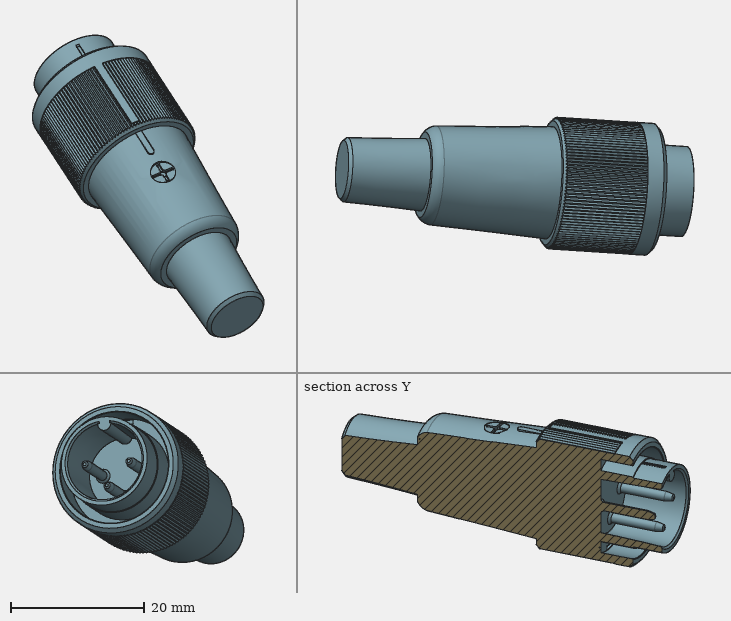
import cadquery as cq
import math


TOTAL_LENGTH = 52.8
COLLAR_FRONT = 4.8
KNURL_FRONT = 7.85
COLLAR_REAR = 20.8
BODY_SHOULDER = 38.75
BODY_REAR = 40.35
CAVITY_FLOOR = 10.1

SHELL_RADIUS = 13.6 / 2
SHELL_STEP_RADIUS = 13.9 / 2
SHELL_MOUTH_RADIUS = 6.2
SHELL_BORE_RADIUS = 5.9
SHELL_FLOOR_RADIUS = 5.65
SHELL_CHAMFER = 0.3
GROOVE_FRONT = 1.0
GROOVE_RAMP_LENGTH = 0.3
GROOVE_WIDTH = 0.5
GROOVE_DEPTH = 0.15

KEY_RADIUS = 1.05
KEY_CENTER_HEIGHT = 5.75
KEY_NECK_WIDTH = 1.66

PIN_RADIUS = 1.49 / 2
PIN_NOSE_RADIUS = 1.0 / 2
PIN_TIP_RADIUS = 0.25
PIN_NOSE_LENGTH = 0.15
PIN_CIRCLE_RADIUS = 3.5
PIN_TIP = 1.2
PIN_CONE_LENGTH = 1.3
PIN_BOSS_RADIUS = 1.08
PIN_BOSS_HEIGHT = 0.4
PIN_ANGLES = (0, 180, 270)

COLLAR_RADIUS = 19.9 / 2
COLLAR_BORE_RADIUS = 17.1 / 2
COLLAR_BORE_CHAMFER = 0.1
COLLAR_CHAMFER = 0.6
LATCH_WIDTH = 2.5
LATCH_INNER_HEIGHT = 7.75
LATCH_DEPTH = 0.5
LATCH_EDGE_GAP = 0.1

KNURL_COUNT = 120
KNURL_CREST_RADIUS = COLLAR_RADIUS - 0.02
KNURL_ROOT_RADIUS = COLLAR_RADIUS - 0.25
STRIP_WIDTH = 1.3
STRIP_END = 19.9

BODY_FRONT_RADIUS = 8.46
BODY_SHOULDER_RADIUS = 7.48
BODY_REAR_RADIUS = 6.45
BODY_HOLLOW = 0.035
SHOULDER_BULGE = 0.15
TAIL_FRONT_RADIUS = 5.48
TAIL_EDGE_RADIUS = 4.87
TAIL_HOLLOW = 0.05
TAIL_END_RADIUS = 4.4
TAIL_EDGE_LENGTH = 0.55

INDEX_END = 25.35
INDEX_WIDTH = 1.0
INDEX_TOP = 8.5

SCREW_X = 28.8
SCREW_RADIUS = 1.9
SCREW_TOP = 7.75
SCREW_SLOT_LENGTH = 3.3
SCREW_SLOT_WIDTH = 0.45
SCREW_SLOT_DEPTH = 0.4
SCREW_CENTER_RADIUS = 0.5
SCREW_CENTER_DEPTH = 0.6

CUT_MARGIN = 1.0


def revolve_about_x(profile):
    return profile.close().revolve(360, (0, 0, 0), (1, 0, 0))


def box_along_x(x_start, x_end, width, z_low, z_high):
    box = cq.Workplane("XY").box(x_end - x_start, width, z_high - z_low, centered=(False, True, False))
    return box.translate((x_start, 0, z_low))


def make_collar():
    front_radius = COLLAR_RADIUS - COLLAR_CHAMFER
    profile = (
        cq.Workplane("XY")
        .moveTo(COLLAR_FRONT, COLLAR_BORE_RADIUS + COLLAR_BORE_CHAMFER)
        .lineTo(COLLAR_FRONT, front_radius)
        .lineTo(COLLAR_FRONT + COLLAR_CHAMFER, COLLAR_RADIUS)
        .lineTo(COLLAR_REAR - COLLAR_CHAMFER, COLLAR_RADIUS)
        .lineTo(COLLAR_REAR, front_radius)
        .lineTo(COLLAR_REAR, 0)
        .lineTo(CAVITY_FLOOR, 0)
        .lineTo(CAVITY_FLOOR, COLLAR_BORE_RADIUS)
        .lineTo(COLLAR_FRONT + COLLAR_BORE_CHAMFER, COLLAR_BORE_RADIUS)
    )
    return revolve_about_x(profile)


def make_knurl_cutter():
    half_pitch = math.pi / KNURL_COUNT
    tooth_points = []
    for index in range(2 * KNURL_COUNT):
        radius = KNURL_CREST_RADIUS if index % 2 == 0 else KNURL_ROOT_RADIUS
        angle = index * half_pitch
        tooth_points.append((radius * math.cos(angle), radius * math.sin(angle)))
    section = cq.Workplane("YZ", origin=(KNURL_FRONT, 0, 0))
    length = COLLAR_REAR - KNURL_FRONT
    toothed_core = section.polyline(tooth_points).close().extrude(length)
    return section.circle(COLLAR_RADIUS + CUT_MARGIN).extrude(length).cut(toothed_core)


def make_plain_strip():
    strip = box_along_x(KNURL_FRONT, STRIP_END, STRIP_WIDTH, COLLAR_BORE_RADIUS, COLLAR_RADIUS + CUT_MARGIN)
    cylinder = cq.Workplane("YZ").circle(COLLAR_RADIUS).extrude(COLLAR_REAR)
    return strip.intersect(cylinder)


def make_latch_recesses():
    outer_height = COLLAR_BORE_RADIUS - LATCH_EDGE_GAP
    recess_end = CAVITY_FLOOR + LATCH_DEPTH
    upper = box_along_x(CAVITY_FLOOR, recess_end, LATCH_WIDTH, LATCH_INNER_HEIGHT, outer_height)
    return upper.union(upper.mirror("XY"))


def make_shell():
    profile = (
        cq.Workplane("XY")
        .moveTo(0, SHELL_MOUTH_RADIUS)
        .lineTo(0, SHELL_RADIUS)
        .lineTo(COLLAR_FRONT, SHELL_RADIUS)
        .lineTo(COLLAR_FRONT, SHELL_STEP_RADIUS)
        .lineTo(CAVITY_FLOOR, SHELL_STEP_RADIUS)
        .lineTo(CAVITY_FLOOR, SHELL_FLOOR_RADIUS)
        .lineTo(SHELL_CHAMFER, SHELL_BORE_RADIUS)
    )
    groove = (
        cq.Workplane("XZ")
        .moveTo(GROOVE_FRONT, SHELL_RADIUS)
        .lineTo(GROOVE_FRONT + GROOVE_RAMP_LENGTH, SHELL_RADIUS - GROOVE_DEPTH)
        .lineTo(COLLAR_FRONT, SHELL_RADIUS - GROOVE_DEPTH)
        .lineTo(COLLAR_FRONT, SHELL_RADIUS)
        .close()
        .extrude(GROOVE_WIDTH / 2, both=True)
    )
    return revolve_about_x(profile).cut(groove)


def make_key():
    lobe = cq.Workplane("YZ").center(0, KEY_CENTER_HEIGHT).circle(KEY_RADIUS).extrude(CAVITY_FLOOR)
    below_mouth = cq.Workplane("YZ").circle(SHELL_BORE_RADIUS).extrude(CAVITY_FLOOR)
    neck = box_along_x(0, CAVITY_FLOOR, KEY_NECK_WIDTH, KEY_CENTER_HEIGHT, SHELL_RADIUS - SHELL_CHAMFER)
    return lobe.intersect(below_mouth).union(neck)


def make_pin():
    profile = (
        cq.Workplane("XY")
        .moveTo(PIN_TIP, 0)
        .lineTo(PIN_TIP, PIN_TIP_RADIUS)
        .lineTo(PIN_TIP + PIN_NOSE_LENGTH, PIN_NOSE_RADIUS)
        .lineTo(PIN_TIP + PIN_CONE_LENGTH, PIN_RADIUS)
        .lineTo(CAVITY_FLOOR - PIN_BOSS_HEIGHT, PIN_RADIUS)
        .lineTo(CAVITY_FLOOR, PIN_BOSS_RADIUS)
        .lineTo(CAVITY_FLOOR, 0)
    )
    return revolve_about_x(profile)


def make_body():
    tail_edge = TOTAL_LENGTH - TAIL_EDGE_LENGTH
    body_middle = (
        (COLLAR_REAR + BODY_SHOULDER) / 2,
        (BODY_FRONT_RADIUS + BODY_SHOULDER_RADIUS) / 2 - BODY_HOLLOW,
    )
    shoulder_middle = (
        (BODY_SHOULDER + BODY_REAR) / 2 + SHOULDER_BULGE,
        (BODY_SHOULDER_RADIUS + BODY_REAR_RADIUS) / 2 + SHOULDER_BULGE,
    )
    tail_middle = (
        (BODY_REAR + tail_edge) / 2,
        (TAIL_FRONT_RADIUS + TAIL_EDGE_RADIUS) / 2 - TAIL_HOLLOW,
    )
    profile = (
        cq.Workplane("XY")
        .moveTo(COLLAR_REAR, 0)
        .lineTo(COLLAR_REAR, BODY_FRONT_RADIUS)
        .threePointArc(body_middle, (BODY_SHOULDER, BODY_SHOULDER_RADIUS))
        .threePointArc(shoulder_middle, (BODY_REAR, BODY_REAR_RADIUS))
        .lineTo(BODY_REAR, TAIL_FRONT_RADIUS)
        .threePointArc(tail_middle, (tail_edge, TAIL_EDGE_RADIUS))
        .lineTo(TOTAL_LENGTH, TAIL_END_RADIUS)
        .lineTo(TOTAL_LENGTH, 0)
    )
    return revolve_about_x(profile)


def make_index_bar():
    end_radius = INDEX_WIDTH / 2
    bar = box_along_x(COLLAR_REAR, INDEX_END - end_radius, INDEX_WIDTH, BODY_SHOULDER_RADIUS, INDEX_TOP)
    end = (
        cq.Workplane("XY", origin=(INDEX_END - end_radius, 0, BODY_SHOULDER_RADIUS))
        .circle(end_radius)
        .extrude(INDEX_TOP - BODY_SHOULDER_RADIUS)
    )
    return bar.union(end)


def make_screw_recess():
    top = cq.Workplane("XY", origin=(SCREW_X, 0, SCREW_TOP))
    recess = top.circle(SCREW_RADIUS).extrude(CUT_MARGIN)
    slot_x = top.rect(SCREW_SLOT_LENGTH, SCREW_SLOT_WIDTH).extrude(-SCREW_SLOT_DEPTH)
    slot_y = top.rect(SCREW_SLOT_WIDTH, SCREW_SLOT_LENGTH).extrude(-SCREW_SLOT_DEPTH)
    center = top.circle(SCREW_CENTER_RADIUS).extrude(-SCREW_CENTER_DEPTH)
    return recess.union(slot_x).union(slot_y).union(center)


collar = make_collar().cut(make_knurl_cutter()).union(make_plain_strip()).cut(make_latch_recesses())
body = make_body().union(make_index_bar()).cut(make_screw_recess())
result = collar.union(body).union(make_shell()).union(make_key())
for pin_angle in PIN_ANGLES:
    pin_y = PIN_CIRCLE_RADIUS * math.cos(math.radians(pin_angle))
    pin_z = PIN_CIRCLE_RADIUS * math.sin(math.radians(pin_angle))
    result = result.union(make_pin().translate((0, pin_y, pin_z)))